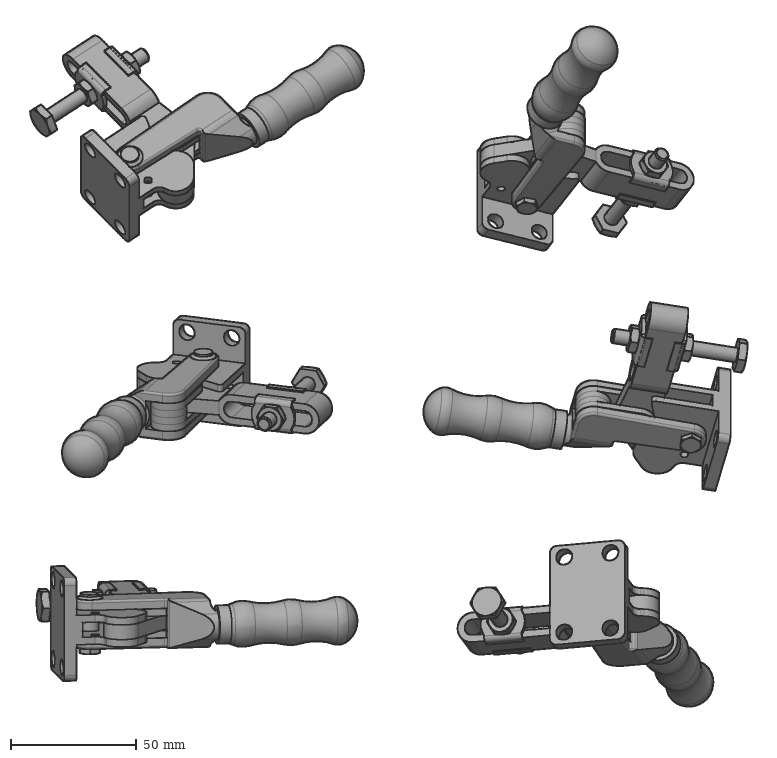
import cadquery as cq
import math


SHEET = 3.0
MARGIN = 1.2

PLATE_X_MIN = -14.9
PLATE_LENGTH = 30.8
PLATE_X_MAX = PLATE_X_MIN + PLATE_LENGTH
PLATE_CENTRE_X = PLATE_X_MIN + PLATE_LENGTH / 2
PLATE_THICKNESS = 5.0
PLATE_WIDTH = 42.0
PLATE_CORNER_RADIUS = 2.7
MOUNT_HOLE_DIAMETER = 6.5
MOUNT_HOLE_PITCH_X = 19.0
MOUNT_HOLE_PITCH_Z = 32.0
BLADE_HALF = SHEET
CHEEK_OUTER = BLADE_HALF + SHEET
CHEEK_WEB = 2.4
CHEEK_FRONT_TOP = 32.6
CHEEK_FRONT_RADIUS = 1.4
CHEEK_TOP_SLOPE = 0.39
CHEEK_VALLEY_X = 5.4
CHEEK_VALLEY_RADIUS = 0.6
CHEEK_REAR_RADIUS = 3.9
SIDE_HOLE_DIAMETER = 3.1
SIDE_HOLE_X = 11.3
SIDE_HOLE_Y = 13.3

LOBE_X = 16.8
LOBE_Y = 23.1
LOBE_RADIUS = 7.3
LOBE_ANGLE = math.radians(39.5)
LOBE_UNDERSIDE_ANGLE = math.radians(22)

ARM_X_MIN = -60.0
ARM_Y_MIN = 27.0
ARM_HEIGHT = 15.1
ARM_Y_MAX = ARM_Y_MIN + ARM_HEIGHT
FORK_RADIUS = 6.3
SLOT_RADIUS = FORK_RADIUS - SHEET
FORK_FRONT_X = ARM_X_MIN + FORK_RADIUS
FORK_REAR_X = -22.9
BLADE_RISE_X = -17.3
BLADE_RISE_SLOPE = 0.13

GRIP_X = 13.8
GRIP_BOTTOM = 62.1

PIVOT_Y = 13.1
LEVER_HALF_DEPTH = 10.0
LEVER_END_RADIUS = 6.1
LEVER_HALF_WIDTH = 7.1
LEVER_TOP = 60.0
LEVER_CORNER_RADIUS = 7.1
LEVER_EDGE_FILLET = 1.0
GUSSET_BOTTOM = 43.1
GUSSET_BOTTOM_X = 9.5
GUSSET_CORNER_RADIUS = 1.0
BEND_X = 9.3
BEND_RADIUS = 5.6
NECK_RADIUS = 6.1
NECK_REAR_X = GRIP_X + NECK_RADIUS

LINK_RADIUS = 7.1
LINK_TOP_Y = LEVER_TOP - LINK_RADIUS
LINK_LENGTH = 18.2
LINK_BOTTOM_Y = LINK_TOP_Y - LINK_LENGTH

PIN_RADIUS = 3.7
PIN_HEAD_RADIUS = 5.2
PIN_HEAD_CONE = 1.0
PIN_HEAD_HEIGHT = 1.8
PIN_NUT_WIDTH = 8.0
PIN_NUT_HEIGHT = 2.3
PIN_NUT_TURN = -6.0

GRIP_TOP = 119.0
COLLAR_TOP = 66.9
COLLAR_RADIUS = 7.7
FIRST_BULGE_START = (68.2, 8.2)
FIRST_BULGE = (72.2, 9.3)
FIRST_BULGE_END = (76.2, 8.7)
FIRST_WAIST = (82.6, 8.0)
SECOND_BULGE_START = (89.0, 8.8)
SECOND_BULGE = (92.1, 9.3)
SECOND_BULGE_END = (95.1, 8.8)
SECOND_WAIST = (101.6, 8.0)
KNOB_START = (109.5, 9.4)
KNOB = (111.6, 9.6)
KNOB_END = (113.8, 8.9)

HEXAGON_CHAMFER_ANGLE = math.radians(30)

SPINDLE_X = -41.0
SPINDLE_RADIUS = 3.0
SPINDLE_TOP = 54.0
SPINDLE_CHAMFER = 0.6
HEAD_WIDTH = 12.0
HEAD_HEIGHT = 3.5
NUT_WIDTH = 10.0
NUT_HEIGHT = 3.5
WASHER_RADIUS = 9.0
WASHER_THICKNESS = 1.7
WASHER_LIP_LENGTH = 15.5
WASHER_LIP_DEPTH = 3.0
WASHER_HALF_WIDTH = 6.9
WASHER_BEND_RADIUS = 2.1


def rounded_outline(corners):
    """Closed outline through (x, y, radius) corners, each rounded by a tangent arc."""
    outline = cq.Workplane("XY")
    started = False
    for index, (x, y, radius) in enumerate(corners):
        corner = cq.Vector(x, y)
        before = (cq.Vector(*corners[index - 1][:2]) - corner).normalized()
        after = (cq.Vector(*corners[(index + 1) % len(corners)][:2]) - corner).normalized()
        half_angle = before.getAngle(after) / 2
        setback = radius / math.tan(half_angle)
        middle = (before + after).normalized() * (radius / math.sin(half_angle) - radius)
        arc_start = (corner + before * setback).toTuple()[:2]
        arc_end = (corner + after * setback).toTuple()[:2]
        outline = outline.lineTo(*arc_start) if started else outline.moveTo(*arc_start)
        started = True
        if radius > 0:
            outline = outline.threePointArc((corner + middle).toTuple()[:2], arc_end)
    return outline.close()


def slab(outline, half_depth):
    """Extrude an outline by the same depth to both sides."""
    return outline.extrude(half_depth, both=True)


def box_between(x_range, y_range, z_range):
    lengths = [high - low for low, high in (x_range, y_range, z_range)]
    return cq.Workplane("XY").box(*lengths, centered=False).translate((x_range[0], y_range[0], z_range[0]))


def hexagon(width, height, chamfer_top=True):
    """Hexagon standing on z = 0 with a corner on the x axis and its corners turned off at an angle."""
    corner_radius = width / math.sqrt(3)
    turned_radius = width / 2
    drop = (corner_radius - turned_radius) * math.tan(HEXAGON_CHAMFER_ANGLE)
    blank = cq.Workplane("XY").polygon(6, 2 * corner_radius).extrude(height)
    profile = [(0, 0), (turned_radius, 0), (corner_radius, drop)]
    if chamfer_top:
        profile += [(corner_radius, height - drop), (turned_radius, height)]
    else:
        profile += [(corner_radius, height)]
    profile += [(0, height)]
    turned = cq.Workplane("XZ").polyline(profile).close().revolve(360, (0, 0), (0, 1))
    return blank.intersect(turned)



def rear_edge_y(x):
    """Height of the straight rear edge, tangent to the lobe, at a given x."""
    tangent_x = LOBE_X + LOBE_RADIUS * math.sin(LOBE_ANGLE)
    tangent_y = LOBE_Y + LOBE_RADIUS * math.cos(LOBE_ANGLE)
    return tangent_y - (x - tangent_x) * math.tan(LOBE_ANGLE)


def lobe_underside_y(x):
    """Height of the straight underside of the cheek lobe at a given x."""
    tangent_x = LOBE_X + LOBE_RADIUS * math.sin(LOBE_UNDERSIDE_ANGLE)
    tangent_y = LOBE_Y - LOBE_RADIUS * math.cos(LOBE_UNDERSIDE_ANGLE)
    return tangent_y + (x - tangent_x) * math.tan(LOBE_UNDERSIDE_ANGLE)



def mounting_plate():
    plate = box_between(
        (PLATE_X_MIN, PLATE_X_MAX), (0, PLATE_THICKNESS), (-PLATE_WIDTH / 2, PLATE_WIDTH / 2)
    )
    plate = plate.edges("|Y").fillet(PLATE_CORNER_RADIUS)
    holes = (
        cq.Workplane("XZ", origin=(PLATE_CENTRE_X, PLATE_THICKNESS, 0))
        .rarray(MOUNT_HOLE_PITCH_X, MOUNT_HOLE_PITCH_Z, 2, 2)
        .circle(MOUNT_HOLE_DIAMETER / 2)
        .extrude(PLATE_THICKNESS)
    )
    return plate.cut(holes)


def cheek_channel():
    """Two cheeks joined by a web that lies on the mounting plate."""
    tip_x = LOBE_X + LOBE_RADIUS
    rise = math.tan(LOBE_ANGLE)
    run = math.tan(LOBE_UNDERSIDE_ANGLE)
    lobe_corner_x = tip_x + (rear_edge_y(tip_x) - lobe_underside_y(tip_x)) / (rise + run)
    valley_y = CHEEK_FRONT_TOP - CHEEK_TOP_SLOPE * (CHEEK_VALLEY_X - PLATE_X_MIN)
    outline = rounded_outline([
        (PLATE_X_MIN, PLATE_THICKNESS, 0),
        (PLATE_X_MAX, PLATE_THICKNESS, 0),
        (PLATE_X_MAX, lobe_underside_y(PLATE_X_MAX), CHEEK_REAR_RADIUS),
        (lobe_corner_x, rear_edge_y(lobe_corner_x), LOBE_RADIUS),
        (CHEEK_VALLEY_X, rear_edge_y(CHEEK_VALLEY_X), LOBE_RADIUS),
        (CHEEK_VALLEY_X, valley_y, CHEEK_VALLEY_RADIUS),
        (PLATE_X_MIN, CHEEK_FRONT_TOP, CHEEK_FRONT_RADIUS),
    ])
    channel = slab(outline, CHEEK_OUTER)
    gap = box_between(
        (PLATE_X_MIN - MARGIN, LOBE_X + LOBE_RADIUS + MARGIN),
        (PLATE_THICKNESS + CHEEK_WEB, ARM_Y_MAX),
        (-BLADE_HALF, BLADE_HALF),
    )
    return channel.cut(gap)


def make_base():
    base = mounting_plate().union(cheek_channel())
    side_hole = slab(
        cq.Workplane("XY").center(SIDE_HOLE_X, SIDE_HOLE_Y).circle(SIDE_HOLE_DIAMETER / 2),
        CHEEK_OUTER + MARGIN,
    )
    pivot_hole = slab(cq.Workplane("XY").center(0, PIVOT_Y).circle(PIN_RADIUS), CHEEK_OUTER + MARGIN)
    return base.cut(side_hole).cut(pivot_hole)



def stadium(radius):
    """Upright prism of the arm height around the two fork centres."""
    length = FORK_REAR_X - FORK_FRONT_X
    middle = (FORK_FRONT_X + FORK_REAR_X) / 2
    return (
        cq.Workplane("XZ", origin=(middle, ARM_Y_MAX, 0))
        .slot2D(length + 2 * radius, 2 * radius)
        .extrude(ARM_HEIGHT)
    )


def arm_blade():
    peak_run = rear_edge_y(BLADE_RISE_X) - ARM_Y_MAX
    peak_x = BLADE_RISE_X + peak_run / (math.tan(LOBE_ANGLE) + BLADE_RISE_SLOPE)
    tangent_x = LOBE_X + LOBE_RADIUS * math.sin(LOBE_ANGLE)
    outline = (
        cq.Workplane("XY")
        .moveTo(FORK_REAR_X, ARM_Y_MIN)
        .lineTo(FORK_REAR_X, ARM_Y_MAX)
        .lineTo(BLADE_RISE_X, ARM_Y_MAX)
        .lineTo(peak_x, rear_edge_y(peak_x))
        .lineTo(tangent_x, rear_edge_y(tangent_x))
        .lineTo(LOBE_X, ARM_Y_MIN)
        .close()
    )
    lobe = cq.Workplane("XY").center(LOBE_X, LOBE_Y).circle(LOBE_RADIUS)
    return slab(outline, BLADE_HALF).union(slab(lobe, BLADE_HALF))


def make_arm():
    return stadium(FORK_RADIUS).union(arm_blade()).cut(stadium(SLOT_RADIUS))



def lever_plan():
    """Tapered strap with a round pivot end, widened at its upper rear by the gusset of the neck."""
    taper = (LEVER_HALF_WIDTH - LEVER_END_RADIUS) / (LEVER_TOP - PIVOT_Y)
    taper_angle = math.atan(taper)
    tangent_x = LEVER_END_RADIUS * math.cos(taper_angle)
    tangent_y = PIVOT_Y - LEVER_END_RADIUS * math.sin(taper_angle)
    gusset_start_x = LEVER_HALF_WIDTH - taper * (LEVER_TOP - GUSSET_BOTTOM)
    strap = (
        cq.Workplane("XY")
        .moveTo(-tangent_x, tangent_y)
        .threePointArc((0, PIVOT_Y - LEVER_END_RADIUS), (tangent_x, tangent_y))
        .lineTo(gusset_start_x, GUSSET_BOTTOM)
        .lineTo(GUSSET_BOTTOM_X, GUSSET_BOTTOM)
        .lineTo(NECK_REAR_X, LEVER_TOP)
        .lineTo(-LEVER_HALF_WIDTH, LEVER_TOP)
        .close()
    )
    plan = slab(strap, LEVER_HALF_DEPTH)
    plan = plan.edges(cq.selectors.NearestToPointSelector((-LEVER_HALF_WIDTH, LEVER_TOP, 0)))
    plan = plan.fillet(LEVER_CORNER_RADIUS)
    for x in (gusset_start_x, GUSSET_BOTTOM_X):
        plan = plan.edges(cq.selectors.NearestToPointSelector((x, GUSSET_BOTTOM, 0)))
        plan = plan.fillet(GUSSET_CORNER_RADIUS)
    return plan


def lever_section():
    """Prism along Y with the lever's cross-section: full depth at the strap, then closing in
    on planes tangent to the round neck."""
    bend_offset = BEND_X - GRIP_X
    bend_distance = math.hypot(bend_offset, LEVER_HALF_DEPTH)
    bend_direction = math.atan2(LEVER_HALF_DEPTH, bend_offset)
    tangent_direction = bend_direction - math.acos(NECK_RADIUS / bend_distance)
    tangent_x = GRIP_X + NECK_RADIUS * math.cos(tangent_direction)
    tangent_z = NECK_RADIUS * math.sin(tangent_direction)
    front_x = -LEVER_HALF_WIDTH - MARGIN
    prism = (
        cq.Workplane("XZ", origin=(0, GRIP_BOTTOM, 0))
        .moveTo(front_x, -LEVER_HALF_DEPTH)
        .lineTo(BEND_X, -LEVER_HALF_DEPTH)
        .lineTo(tangent_x, -tangent_z)
        .threePointArc((NECK_REAR_X, 0), (tangent_x, tangent_z))
        .lineTo(BEND_X, LEVER_HALF_DEPTH)
        .lineTo(front_x, LEVER_HALF_DEPTH)
        .close()
        .extrude(GRIP_BOTTOM)
    )
    for z in (-LEVER_HALF_DEPTH, LEVER_HALF_DEPTH):
        bend = cq.selectors.NearestToPointSelector((BEND_X, GRIP_BOTTOM / 2, z))
        prism = prism.edges(bend).fillet(BEND_RADIUS)
    return prism


def neck():
    """Round neck under the grip, flared where it grows out of the lever."""
    flare = GRIP_BOTTOM - LEVER_TOP
    return (
        cq.Workplane("XY", origin=(GRIP_X, 0, 0))
        .moveTo(0, LEVER_TOP)
        .lineTo(NECK_RADIUS + flare, LEVER_TOP)
        .radiusArc((NECK_RADIUS, GRIP_BOTTOM), flare)
        .lineTo(0, GRIP_BOTTOM)
        .close()
        .revolve(360, (0, 0), (0, 1))
    )


def lever_cavity():
    """Gap between the two lever straps, closed at the rear by the gusset."""
    return box_between(
        (-LEVER_HALF_WIDTH - MARGIN, LEVER_HALF_WIDTH), (0, LEVER_TOP), (-CHEEK_OUTER, CHEEK_OUTER)
    )


def pivot_pin():
    """Pin through both lever walls, with a turned head above and a hexagon below."""
    shank_and_head = [
        (0, -LEVER_HALF_DEPTH),
        (PIN_RADIUS, -LEVER_HALF_DEPTH),
        (PIN_RADIUS, LEVER_HALF_DEPTH),
        (PIN_HEAD_RADIUS, LEVER_HALF_DEPTH),
        (PIN_RADIUS, LEVER_HALF_DEPTH + PIN_HEAD_CONE),
        (PIN_RADIUS, LEVER_HALF_DEPTH + PIN_HEAD_HEIGHT),
        (0, LEVER_HALF_DEPTH + PIN_HEAD_HEIGHT),
    ]
    pin = cq.Workplane("XZ").polyline(shank_and_head).close().revolve(360, (0, 0), (0, 1))
    nut = hexagon(PIN_NUT_WIDTH, PIN_NUT_HEIGHT, chamfer_top=False)
    nut = nut.rotate((0, 0, 0), (0, 0, 1), PIN_NUT_TURN)
    nut = nut.translate((0, 0, -LEVER_HALF_DEPTH - PIN_NUT_HEIGHT))
    return pin.union(nut).translate((0, PIVOT_Y, 0))


def grip():
    """Turned hand grip: an end collar, two bulges and a domed knob."""
    def point(place):
        height, radius = place
        return (radius, height)

    profile = (
        cq.Workplane("XY", origin=(GRIP_X, 0, 0))
        .moveTo(0, GRIP_BOTTOM)
        .lineTo(COLLAR_RADIUS, GRIP_BOTTOM)
        .lineTo(COLLAR_RADIUS, COLLAR_TOP)
        .lineTo(*point(FIRST_BULGE_START))
        .threePointArc(point(FIRST_BULGE), point(FIRST_BULGE_END))
        .threePointArc(point(FIRST_WAIST), point(SECOND_BULGE_START))
        .threePointArc(point(SECOND_BULGE), point(SECOND_BULGE_END))
        .threePointArc(point(SECOND_WAIST), point(KNOB_START))
        .threePointArc(point(KNOB), point(KNOB_END))
    )
    dome_height = GRIP_TOP - KNOB_END[0]
    dome_radius = (KNOB_END[1] ** 2 + dome_height**2) / (2 * dome_height)
    profile = profile.radiusArc((0, GRIP_TOP), -dome_radius).close()
    return profile.revolve(360, (0, 0), (0, 1))


def make_lever():
    section = lever_section()
    lever = lever_plan().faces("<Z or >Z").edges().fillet(LEVER_EDGE_FILLET)
    lever = lever.intersect(section)
    lever = lever.union(neck().intersect(section))
    return lever.cut(lever_cavity()).union(pivot_pin()).union(grip())



def make_link():
    """Round boss between the lever straps, with two legs that straddle the arm blade."""
    link = slab(cq.Workplane("XY").center(0, LINK_TOP_Y).circle(LINK_RADIUS), CHEEK_OUTER)
    middle_y = (LINK_TOP_Y + LINK_BOTTOM_Y) / 2
    for leg_z in (-CHEEK_OUTER, BLADE_HALF):
        leg = cq.Workplane("XY", origin=(0, middle_y, leg_z))
        leg = leg.slot2D(LINK_LENGTH + 2 * LINK_RADIUS, 2 * LINK_RADIUS, 90).extrude(SHEET)
        link = link.union(leg)
    return link



def upright(shape, y):
    """Stand a shape built along z on the spindle axis at height y, pointing up +Y."""
    return shape.rotate((0, 0, 0), (1, 0, 0), -90).translate((SPINDLE_X, y, 0))


def flanged_washer():
    """Washer resting on the upper edges of the arm, its two lips bent down over the sides."""
    hood = box_between(
        (-WASHER_LIP_LENGTH / 2, WASHER_LIP_LENGTH / 2),
        (-WASHER_LIP_DEPTH, WASHER_THICKNESS),
        (-WASHER_HALF_WIDTH, WASHER_HALF_WIDTH),
    )
    hood = hood.edges("|X and >Y").fillet(WASHER_BEND_RADIUS)
    arm_space = box_between(
        (-WASHER_LIP_LENGTH, WASHER_LIP_LENGTH), (-2 * WASHER_LIP_DEPTH, 0), (-FORK_RADIUS, FORK_RADIUS)
    )
    flat_half = WASHER_HALF_WIDTH - WASHER_BEND_RADIUS
    disc = cq.Workplane("XZ", origin=(0, WASHER_THICKNESS, 0)).circle(WASHER_RADIUS).extrude(WASHER_THICKNESS)
    flat = box_between((-WASHER_RADIUS, WASHER_RADIUS), (0, WASHER_THICKNESS), (-flat_half, flat_half))
    return hood.cut(arm_space).union(disc.intersect(flat))


def make_spindle():
    rod = cq.Workplane("XY").circle(SPINDLE_RADIUS).extrude(SPINDLE_TOP).faces(">Z").chamfer(SPINDLE_CHAMFER)
    spindle = upright(rod, 0).union(upright(hexagon(HEAD_WIDTH, HEAD_HEIGHT, chamfer_top=False), 0))
    washer = flanged_washer()
    upper_washer = washer.translate((SPINDLE_X, ARM_Y_MAX, 0))
    lower_washer = washer.rotate((0, 0, 0), (1, 0, 0), 180).translate((SPINDLE_X, ARM_Y_MIN, 0))
    upper_nut = upright(hexagon(NUT_WIDTH, NUT_HEIGHT), ARM_Y_MAX + WASHER_THICKNESS)
    lower_nut = upright(hexagon(NUT_WIDTH, NUT_HEIGHT), ARM_Y_MIN - WASHER_THICKNESS - NUT_HEIGHT)
    for part in (upper_washer, lower_washer, upper_nut, lower_nut):
        spindle = spindle.union(part)
    return spindle


base = make_base()
arm = make_arm()
link = make_link()
lever = make_lever()
spindle = make_spindle()

bodies = [base, arm, link, lever, spindle]
result = cq.Compound.makeCompound([body.solids().val() for body in bodies])